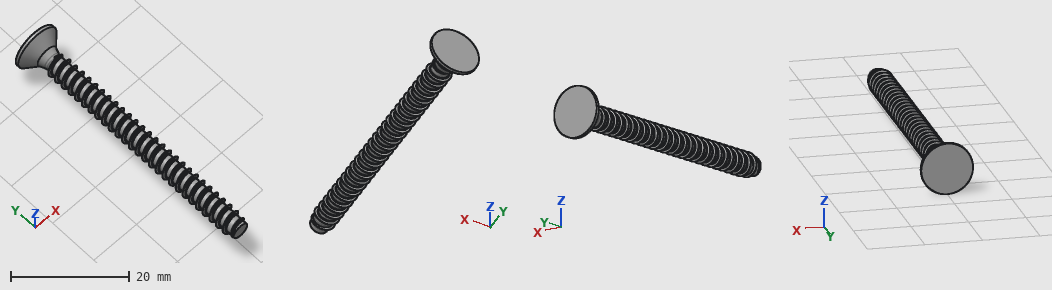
import cadquery as cq
import math


length = 50.0
head_diameter = 9.0
core_diameter = 3.2
thread_diameter = 4.4

rim_depth = 0.65
cone_end_depth = 2.95
neck_start_depth = 4.15
neck_end_depth = 4.6
neck_diameter = 3.45

pitch = 1.631
start_angle = 90.0
tip_fade_length = 2.04
head_fade_start_depth = 5.55
head_fade_end_depth = 4.0
tip_side_root = 0.34
head_side_root = 0.64
flare_reach = 0.36
flare_height = 0.05
skirt_half_width = 0.2
skirt_height = 0.15
crest_half_width = 0.06
embed = 0.02

head_radius = head_diameter / 2
core_radius = core_diameter / 2
neck_radius = neck_diameter / 2
cone_end_radius = head_radius - (cone_end_depth - rim_depth)
base_radius = core_radius - embed

fade_step = embed / 4
flare_faded_radius = base_radius + fade_step
skirt_faded_radius = flare_faded_radius + fade_step
crest_faded_radius = skirt_faded_radius + fade_step

flare_radius = core_radius + flare_height
skirt_radius = core_radius + skirt_height
crest_radius = thread_diameter / 2
thread_section = [
    (-tip_side_root, base_radius, base_radius),
    (-skirt_half_width, skirt_radius, skirt_faded_radius),
    (-crest_half_width, crest_radius, crest_faded_radius),
    (crest_half_width, crest_radius, crest_faded_radius),
    (skirt_half_width, skirt_radius, skirt_faded_radius),
    (flare_reach, flare_radius, flare_faded_radius),
    (head_side_root, base_radius, base_radius),
]


def make_body():
    """Head, filleted neck and plain core as one turned shape."""
    return (
        cq.Workplane("XZ")
        .lineTo(core_radius, 0)
        .lineTo(core_radius, length - neck_end_depth)
        .lineTo(neck_radius, length - neck_start_depth)
        .tangentArcPoint((cone_end_radius, length - cone_end_depth), relative=False)
        .lineTo(head_radius, length - rim_depth)
        .lineTo(head_radius, length)
        .lineTo(0, length)
        .close()
        .revolve(360, (0, 0, 0), (0, 1, 0))
    )


def make_helix(bottom, top, offset, bottom_radius, top_radius):
    """Helix whose radius changes evenly from bottom to top, shifted along Z by offset."""
    height = top - bottom
    turns_height, turns_pitch = height, pitch
    cone_angle = 360.0
    if top_radius != bottom_radius:
        half_angle = math.atan2(top_radius - bottom_radius, height)
        turns_height = height / math.cos(half_angle)
        turns_pitch = pitch / math.cos(half_angle)
        cone_angle = math.degrees(half_angle)
    helix = cq.Wire.makeHelix(turns_pitch, turns_height, bottom_radius, angle=cone_angle)
    turn = start_angle + 360 * bottom / pitch
    helix = helix.rotate(cq.Vector(0, 0, 0), cq.Vector(0, 0, 1), turn)
    return helix.translate(cq.Vector(0, 0, bottom + offset)).Edges()[0]


def make_thread_stretch(bottom, top, bottom_faded=False, top_faded=False):
    """One stretch of thread, closed by a flat section at each end."""
    helices = []
    for offset, full_radius, faded_radius in thread_section:
        bottom_radius = faded_radius if bottom_faded else full_radius
        top_radius = faded_radius if top_faded else full_radius
        helices.append(make_helix(bottom, top, offset, bottom_radius, top_radius))

    faces = []
    for i in range(len(helices)):
        faces.append(cq.Face.makeRuledSurface(helices[i - 1], helices[i]))
    for end in (0, 1):
        corners = [helix.positionAt(end) for helix in helices]
        faces.append(cq.Face.makeFromWires(cq.Wire.makePolygon(corners, close=True)))
    return cq.Solid.makeSolid(cq.Shell.makeShell(faces))


def make_thread():
    """Full-height thread with a fade at the tip and another below the neck."""
    full_start = tip_fade_length
    full_end = length - head_fade_start_depth
    fade_end = length - head_fade_end_depth
    return [
        make_thread_stretch(0, full_start, bottom_faded=True),
        make_thread_stretch(full_start, full_end),
        make_thread_stretch(full_end, fade_end, top_faded=True),
    ]


screw = make_body()
for stretch in make_thread():
    screw = screw.union(cq.Workplane(obj=stretch))

envelope = cq.Workplane("XY").circle(head_diameter).extrude(length)
screw = screw.intersect(envelope)

result = screw.translate((0, 0, -length)).rotate((0, 0, 0), (1, 0, 0), -90)